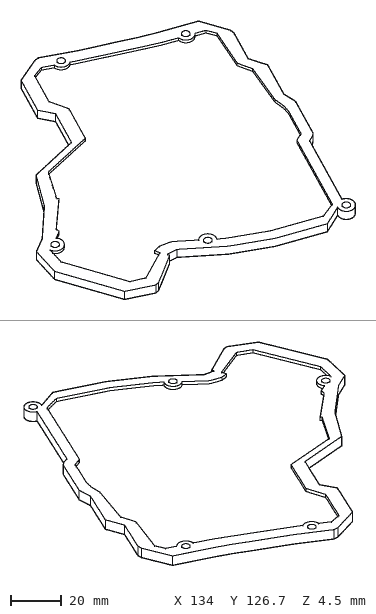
import cadquery as cq

length_x = 134.0
height = 4.5
pocket_depth = 1.5

hole_diameter = 3.4
boss_diameter = 7.2

rim_width = 4.5
rear_edge_y = 122.7
rear_bump_y = 125.5
rear_step_y = 116.8
right_edge_x = 127.2
front_left_y = 29.1
front_notch_y = 35.0
pocket_notch_y = 40.9

screw_points = [
    (120.3, 123.1),
    (8.8, 99.0),
    (4.8, 47.7),
    (118.5, 65.2),
    (98.7, 8.3),
]

outer_corners = [
    (0.0, 40.1),
    (0.8, 38.2),
    (9.1, front_left_y),
    (27.0, front_left_y),
    (31.4, front_notch_y),
    (48.4, front_notch_y),
    (59.5, 16.4),
    (60.0, 15.4),
    (77.1, 12.2),
    (89.0, 6.8),
    (93.8, 4.7),
    (99.6, 0.0),
    (112.5, 2.7),
    (132.9, 24.3),
    (length_x, 37.0),
    (133.1, 38.6),
    (120.8, 48.1),
    (119.8, 47.5),
    (118.8, 52.0),
    (124.5, 71.6),
    (right_edge_x, 90.2),
    (right_edge_x, 112.3),
    (117.0, rear_edge_y),
    (81.8, rear_edge_y),
    (80.0, 124.5),
    (78.4, rear_bump_y),
    (59.5, rear_bump_y),
    (54.2, rear_edge_y),
    (36.6, rear_edge_y),
    (36.0, 122.0),
    (30.7, rear_step_y),
    (15.3, rear_step_y),
    (13.4, 116.0),
    (4.2, 106.2),
    (4.2, 88.2),
    (3.9, 80.8),
    (3.2, 73.2),
    (2.5, 63.1),
    (2.0, 55.9),
]

pocket_corners = [
    (5.5, 39.1),
    (8.7, front_notch_y),
    (24.1, front_notch_y),
    (30.7, pocket_notch_y),
    (48.3, pocket_notch_y),
    (60.3, 20.5),
    (75.2, 18.2),
    (75.5, 19.0),
    (90.9, 11.8),
    (92.5, 12.5),
    (95.5, 10.0),
    (100.7, 5.4),
    (108.5, 7.0),
    (128.5, 28.2),
    (129.0, 34.9),
    (118.0, 45.0),
    (116.2, 43.6),
    (114.6, 46.1),
    (114.1, 50.3),
    (114.1, 52.0),
    (120.0, 71.6),
    (right_edge_x - rim_width, 90.0),
    (right_edge_x - rim_width, 112.5),
    (117.8, rear_edge_y - rim_width),
    (79.8, rear_edge_y - rim_width),
    (77.0, rear_bump_y - rim_width),
    (63.7, rear_bump_y - rim_width),
    (60.2, 120.3),
    (55.6, 118.2),
    (36.6, 116.4),
    (33.6, 113.7),
    (31.4, 111.8),
    (13.1, 110.5),
    (10.0, 107.0),
    (9.9, 88.2),
    (9.3, 78.8),
    (7.1, 52.5),
]


def prism(corners, base_z, thickness):
    """Straight-sided prism over a closed polygon, starting at height base_z."""
    return cq.Workplane("XY").workplane(offset=base_z).polyline(corners).close().extrude(thickness)


def screw_cylinders(diameter):
    """Full-height cylinders at every screw position."""
    return cq.Workplane("XY").pushPoints(screw_points).circle(diameter / 2).extrude(height)


plate = prism(outer_corners, 0, height)
pocket = prism(pocket_corners, height - pocket_depth, pocket_depth)
bosses = screw_cylinders(boss_diameter)
holes = screw_cylinders(hole_diameter)

result = plate.cut(pocket).union(bosses).cut(holes)